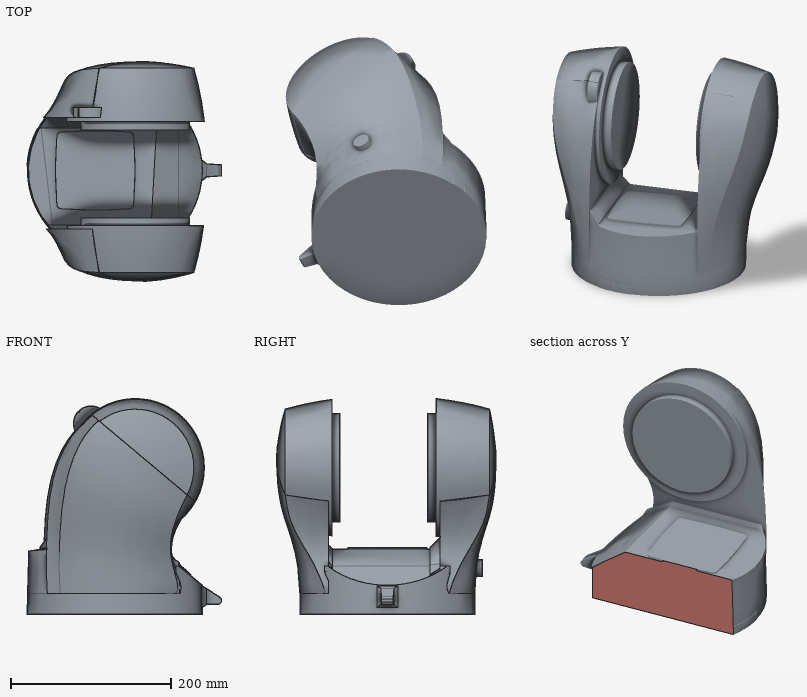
import cadquery as cq
import math

OVERLAP = 1.0

BASE_RADIUS = 109.1
BASE_HEIGHT = 26.0
BODY_TOP_RADIUS = 107.3
BODY_TOP = 97.0

FLOOR_LEVEL = 81.5
FLOOR_FRONT_LEVEL = 78.5
SLOPE_BREAK_LEVEL = 60.5
SLOPE_END_LEVEL = 34.0
FLOOR_FRONT_BREAK_X = -85.8
FLOOR_REAR_BREAK_X = 49.0
SLOPE_BREAK_X = 79.5
FRONT_BREAK_SKEW = -14 / 119
REAR_BREAK_SKEW = 0.055
FLOOR_END_X = 112.0
LEDGE_STEP = 1.5
LEDGE_CHAMFER = 13.0
SLOPE_CHAMFER = 1.0
SMALL_CHAMFER = 5.0

HEAD_X = 25.5
HEAD_Z = 183.1
HEAD_INNER_RADIUS = 86.23
HEAD_TAPER = 0.13
HEAD_MIDDLE_RADIUS = 81.1
HEAD_RIM_RADIUS = 73.0
HEAD_RIM_Y = 127.5
LEFT_FACE_Y = -68.8
RIGHT_FACE_Y = 60.8
LEFT_DOME_Y = -138.5
RIGHT_DOME_Y = 135.75
DISC_RADIUS = 67.6
LEFT_DISC_Y = -59.3
RIGHT_DISC_Y = 50.3

FAN_X = 237.0
FAN_Z = BASE_HEIGHT
HEAD_SPLIT_ANGLE = 40.0
CUT_SIZE = 400.0
LEFT_ARM_Y = -73.2
RIGHT_ARM_Y = 66.0
RIGHT_ARM_FLARE = 3.5
RIGHT_ARM_CREST_TRIM = -LEFT_DOME_Y - RIGHT_DOME_Y
ARM_SECTIONS = [
    (0, 321.2, 305.4, 84.8, BASE_RADIUS, 160.0, 77.2, 156.0),
    (8, 325.7, 309.5, 87.3, 112.0, 163.0, 85.0, 160.0),
    (16, 333.8, 317.0, 98.0, 119.2, 174.0, 98.0, 172.5),
    (24, 344.3, 327.2, 113.1, 130.0, 181.8, 113.0, 179.0),
    (32, 350.7, 336.1, 123.8, 136.8, 186.5, 123.0, 180.0),
    (HEAD_SPLIT_ANGLE, 345.9, 335.6, 127.4, 138.5, 191.4, 127.4, 179.3),
]

TOE_START_X = 17.0
TOE_WAIST_X = 76.0
TOE_LEVEL = 33.5

PAD_X = -24.5
PAD_HALF = 47.5
PAD_BULGE = 2.0
PAD_CORNER = 6.0
PAD_TOP = 83.6
EAR_X = -29.7
EAR_Z = 238.0
EAR_RADIUS = 22.0
EAR_END_Y = 78.5
EAR_GROOVE_WIDTH = 1.3
EAR_GROOVE_DEPTH = 1.5
EAR_GROOVE_ANGLE = 45.0
STUB_Z = 57.7
STUB_RADIUS = 10.5
STUB_START_Y = 90.0
STUB_END_Y = 118.6
SPOUT_TIP_X = 133.1
SPOUT_NECK_X = 114.5
SPOUT_ROOT_X = 107.8
SPOUT_EMBED = 15.0
SPOUT_ROOT_LEVEL = 36.0
SPOUT_NECK_LEVEL = 32.3
SPOUT_TIP_LEVEL = 22.0
SPOUT_BOTTOM = 12.5
SPOUT_ROOT_BOTTOM = 8.5
SPOUT_TIP_CHAMFER = 3.0
SPOUT_NECK_HALF = 8.2
SPOUT_TIP_HALF = 7.0
SPOUT_ROOT_HALF = 13.5
PLATE_RADIUS = 109.83
PLATE_HEIGHT = 11.6
PLATE_Y = (5.3, 51.5)
PLATE_GAP_Y = 34.0
PLATE_GAP = 1.3


def fan_plane(angle):
    """Plane through the fan axis: local x leads away from the axis, local y is Y."""
    c = math.cos(math.radians(angle))
    s = math.sin(math.radians(angle))
    return cq.Plane(origin=(FAN_X, 0, FAN_Z), xDir=(-c, 0, s), normal=(-s, 0, -c))


def make_head(face_y, arm_y, dome_y):
    """Crowned drum with a domed outer face, halved at the split plane except for its inner slice."""
    side = math.copysign(1, dome_y)
    rim_y = side * HEAD_RIM_Y
    bulge = dome_y - rim_y
    middle_y = side * (RIGHT_FACE_Y + HEAD_RIM_Y) / 2
    half_dome = (HEAD_RIM_RADIUS / 2, rim_y + 0.75 * bulge)
    head = (
        cq.Workplane("XY")
        .moveTo(0, face_y)
        .lineTo(HEAD_INNER_RADIUS - HEAD_TAPER * (abs(face_y) - RIGHT_FACE_Y), face_y)
        .threePointArc((HEAD_MIDDLE_RADIUS, middle_y), (HEAD_RIM_RADIUS, rim_y))
        .threePointArc(half_dome, (0, dome_y))
        .close()
        .revolve(360, (0, 0, 0), (0, 1, 0))
        .translate((HEAD_X, 0, HEAD_Z))
    )
    below = (
        cq.Workplane(fan_plane(HEAD_SPLIT_ANGLE))
        .center(0, arm_y + side * CUT_SIZE / 2)
        .rect(2 * CUT_SIZE, CUT_SIZE)
        .extrude(CUT_SIZE)
    )
    return head.cut(below)


def make_arm(inner_y, base_flare, crest_trim):
    """Swept arm that grows from the base circle into the head."""
    side = math.copysign(1, inner_y)
    wires = []
    for angle, front, front_rim, front_y, crest_y, rear_rim, rear_y, rear in ARM_SECTIONS:
        rise = angle / HEAD_SPLIT_ANGLE
        flare = base_flare * (1 - rise**3)
        crest = crest_y - crest_trim * rise
        middle = (front_rim + rear_rim) / 2
        section = (
            cq.Workplane(fan_plane(angle))
            .moveTo(front + flare, inner_y)
            .lineTo(front_rim, side * front_y)
            .threePointArc((middle, side * crest), (rear_rim, side * rear_y))
            .lineTo(rear, inner_y)
            .close()
        )
        wires.append(section.val())
    return cq.Workplane(cq.Solid.makeLoft(wires))


def disc(radius, x, z, y_start, y_end):
    """Cylinder parallel to Y between two y positions."""
    return cq.Workplane("XZ", origin=(x, y_start, z)).circle(radius).extrude(y_start - y_end)


def make_ear():
    """Round lug at the front of the right head, with one groove across its rim."""
    ear = disc(EAR_RADIUS, EAR_X, EAR_Z, RIGHT_ARM_Y, EAR_END_Y)
    groove = (
        cq.Workplane("XY")
        .box(2 * EAR_GROOVE_DEPTH, 2 * EAR_END_Y, EAR_GROOVE_WIDTH)
        .translate((-EAR_RADIUS, EAR_END_Y, 0))
        .rotate((0, 0, 0), (0, 1, 0), EAR_GROOVE_ANGLE)
        .translate((EAR_X, 0, EAR_Z))
    )
    return ear.cut(groove)


def floor_section(x, skew, level, chamfer_rise):
    """Cross-section of the open space above the floor, at x with x shifting by skew per y."""
    ledge = level + LEDGE_STEP
    roof = 2 * BODY_TOP
    outline = [
        (RIGHT_ARM_Y, ledge + chamfer_rise),
        (RIGHT_ARM_Y - LEDGE_CHAMFER, ledge),
        (RIGHT_ARM_Y - LEDGE_CHAMFER, level),
        (LEFT_ARM_Y + SMALL_CHAMFER, level),
        (LEFT_ARM_Y, level + SMALL_CHAMFER),
        (LEFT_ARM_Y, roof),
        (RIGHT_ARM_Y, roof),
    ]
    return cq.Wire.makePolygon([cq.Vector(x + skew * y, y, z) for y, z in outline], close=True)


def make_body():
    """Slightly tapered drum between the arms, hollowed down to the sloping floor."""
    drum = (
        cq.Workplane("XY", origin=(0, 0, BASE_HEIGHT))
        .circle(BASE_RADIUS)
        .workplane(offset=BODY_TOP - BASE_HEIGHT)
        .circle(BODY_TOP_RADIUS)
        .loft()
    )
    width = RIGHT_ARM_Y - LEFT_ARM_Y
    slab = cq.Workplane("XY").box(4 * BASE_RADIUS, width, 4 * BODY_TOP)
    slab = slab.translate((0, (RIGHT_ARM_Y + LEFT_ARM_Y) / 2, 0))
    stations = [
        (-FLOOR_END_X, 0, FLOOR_FRONT_LEVEL, LEDGE_CHAMFER),
        (FLOOR_FRONT_BREAK_X, FRONT_BREAK_SKEW, FLOOR_LEVEL, LEDGE_CHAMFER),
        (FLOOR_REAR_BREAK_X, REAR_BREAK_SKEW, FLOOR_LEVEL, LEDGE_CHAMFER),
        (SLOPE_BREAK_X, 0, SLOPE_BREAK_LEVEL, SLOPE_CHAMFER),
        (FLOOR_END_X, 0, SLOPE_END_LEVEL, SLOPE_CHAMFER),
    ]
    space = cq.Solid.makeLoft([floor_section(*station) for station in stations], True)
    return drum.intersect(slab).cut(cq.Workplane(space))


def make_rear_foot():
    """Toe of both arms, running down the floor slope to the rear of the base ring."""
    toe = (
        cq.Workplane("XZ", origin=(0, BASE_RADIUS, 0))
        .polyline([
            (TOE_START_X, BASE_HEIGHT),
            (TOE_WAIST_X, TOE_LEVEL),
            (TOE_WAIST_X, SLOPE_BREAK_LEVEL),
            (SLOPE_BREAK_X, SLOPE_BREAK_LEVEL),
            (FLOOR_END_X, SLOPE_END_LEVEL),
            (FLOOR_END_X, BASE_HEIGHT),
        ])
        .close()
        .extrude(2 * BASE_RADIUS)
    )
    return cq.Workplane("XY").circle(BASE_RADIUS).extrude(BODY_TOP).intersect(toe)


def make_pad():
    """Raised square pad with bowed sides on the floor."""
    h = PAD_HALF
    b = PAD_HALF + PAD_BULGE
    return (
        cq.Workplane("XY", origin=(PAD_X, 0, FLOOR_LEVEL - OVERLAP))
        .moveTo(-h, -h)
        .threePointArc((0, -b), (h, -h))
        .threePointArc((b, 0), (h, h))
        .threePointArc((0, b), (-h, h))
        .threePointArc((-b, 0), (-h, -h))
        .close()
        .extrude(PAD_TOP - FLOOR_LEVEL + OVERLAP)
        .edges("|Z")
        .fillet(PAD_CORNER)
    )


def make_spout():
    """Rear cable spout: side profile trimmed by a tapering plan outline."""
    inside = BASE_RADIUS - SPOUT_EMBED
    profile = (
        cq.Workplane("XZ", origin=(0, SPOUT_ROOT_HALF, 0))
        .polyline([
            (inside, SPOUT_ROOT_LEVEL),
            (SPOUT_ROOT_X, SPOUT_ROOT_LEVEL),
            (SPOUT_NECK_X, SPOUT_NECK_LEVEL),
            (SPOUT_TIP_X - SPOUT_TIP_CHAMFER, SPOUT_TIP_LEVEL),
            (SPOUT_TIP_X, SPOUT_TIP_LEVEL - SPOUT_TIP_CHAMFER),
            (SPOUT_TIP_X, SPOUT_BOTTOM + SPOUT_TIP_CHAMFER),
            (SPOUT_TIP_X - SPOUT_TIP_CHAMFER, SPOUT_BOTTOM),
            (SPOUT_NECK_X, SPOUT_BOTTOM),
            (BASE_RADIUS, SPOUT_ROOT_BOTTOM),
            (inside, SPOUT_ROOT_BOTTOM),
        ])
        .close()
        .extrude(2 * SPOUT_ROOT_HALF)
    )
    plan = (
        cq.Workplane("XY")
        .polyline([
            (inside, -SPOUT_ROOT_HALF),
            (SPOUT_ROOT_X, -SPOUT_ROOT_HALF),
            (SPOUT_NECK_X, -SPOUT_NECK_HALF),
            (SPOUT_TIP_X, -SPOUT_TIP_HALF),
            (SPOUT_TIP_X, SPOUT_TIP_HALF),
            (SPOUT_NECK_X, SPOUT_NECK_HALF),
            (SPOUT_ROOT_X, SPOUT_ROOT_HALF),
            (inside, SPOUT_ROOT_HALF),
        ])
        .close()
        .extrude(BODY_TOP)
    )
    return profile.intersect(plan)


def make_plates():
    """Pair of thin curved plates on the front of the base ring."""
    shell = cq.Workplane("XY").circle(PLATE_RADIUS).circle(BASE_RADIUS - OVERLAP).extrude(PLATE_HEIGHT)
    y_low, y_high = PLATE_Y
    spans = [
        (y_low, PLATE_GAP_Y - PLATE_GAP / 2),
        (PLATE_GAP_Y + PLATE_GAP / 2, y_high),
    ]
    window = cq.Workplane("XY")
    for start, end in spans:
        block = cq.Workplane("XY").box(PLATE_RADIUS, end - start, PLATE_HEIGHT, centered=False)
        window = window.add(block.translate((-PLATE_RADIUS, start, 0)))
    return shell.intersect(window.combine())


result = cq.Workplane("XY").circle(BASE_RADIUS).extrude(BASE_HEIGHT)
features = [
    make_body(),
    make_arm(LEFT_ARM_Y, 0, 0),
    make_arm(RIGHT_ARM_Y, RIGHT_ARM_FLARE, RIGHT_ARM_CREST_TRIM),
    make_head(LEFT_FACE_Y, LEFT_ARM_Y, LEFT_DOME_Y),
    make_head(RIGHT_FACE_Y, RIGHT_ARM_Y, RIGHT_DOME_Y),
    disc(DISC_RADIUS, HEAD_X, HEAD_Z, LEFT_FACE_Y, LEFT_DISC_Y),
    disc(DISC_RADIUS, HEAD_X, HEAD_Z, RIGHT_FACE_Y, RIGHT_DISC_Y),
    make_ear(),
    disc(STUB_RADIUS, 0, STUB_Z, STUB_START_Y, STUB_END_Y),
    make_rear_foot(),
    make_pad(),
    make_spout(),
    make_plates(),
]
for feature in features:
    result = result.union(feature)